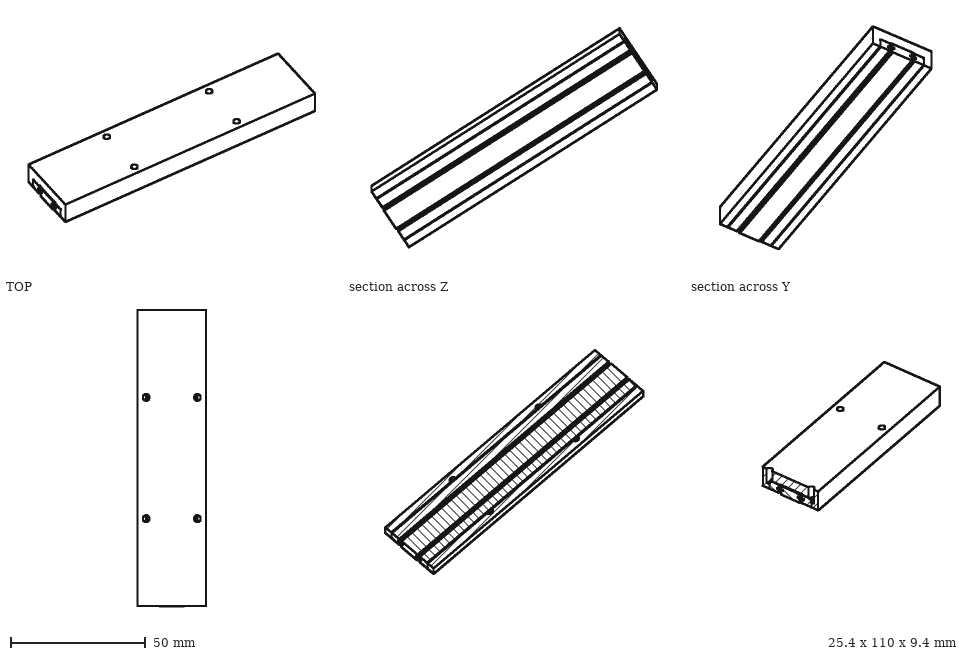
import cadquery as cq

housing_width = 25.4
overall_length = 110.0
overall_height = 9.4
rail_overhang = 0.1
rail_drop = 0.3

channel_width = 18.9
race_height = 3.9
clearance_depth = 0.3

race_gap = 10.3
rail_width = 8.7
rail_top_clearance = 0.2
edge_chamfer = 0.2

groove_opening = 1.3
relief_width = 0.2
relief_depth = 0.9
groove_height = 2.0

hole_diameter = 2.4
hole_spacing_x = 19.0
hole_spacing_y = 45.0
hole_depth = 6.6

housing_length = overall_length - rail_overhang
housing_height = overall_height - rail_drop
channel_roof = race_height + clearance_depth
rail_top = channel_roof - rail_top_clearance


def box(x_min, x_max, length, z_min, z_max):
    """Block starting at the +Y end of the housing and running toward -Y."""
    y_end = housing_length / 2
    return (
        cq.Workplane("XY")
        .box(x_max - x_min, length, z_max - z_min, centered=False)
        .translate((x_min, y_end - length, z_min))
    )


def groove(face_x, direction, length):
    """V groove with a relief slot, cut into a vertical face and pointing along +X or -X."""
    half_opening = groove_opening / 2
    half_relief = relief_width / 2
    v_depth = half_opening - half_relief
    return (
        cq.Workplane("XZ", origin=(face_x, housing_length / 2, groove_height))
        .moveTo(0, half_opening)
        .lineTo(direction * v_depth, half_relief)
        .lineTo(direction * relief_depth, half_relief)
        .lineTo(direction * relief_depth, -half_relief)
        .lineTo(direction * v_depth, -half_relief)
        .lineTo(0, -half_opening)
        .close()
        .extrude(length)
    )


def make_housing():
    body = box(-housing_width / 2, housing_width / 2, housing_length, 0, housing_height)
    body = body.cut(box(-channel_width / 2, channel_width / 2, housing_length, 0, race_height))
    body = body.cut(box(-race_gap / 2, race_gap / 2, housing_length, 0, channel_roof))
    holes = (
        cq.Workplane("XY", origin=(0, 0, housing_height))
        .rarray(hole_spacing_x, hole_spacing_y, 2, 2)
        .circle(hole_diameter / 2)
        .extrude(-hole_depth)
    )
    return body.cut(holes)


def make_race(side):
    inner = side * race_gap / 2
    outer = side * channel_width / 2
    body = box(min(inner, outer), max(inner, outer), housing_length, 0, race_height)
    body = body.edges("|Y").chamfer(edge_chamfer)
    return body.cut(groove(inner, side, housing_length))


def make_rail():
    body = box(-rail_width / 2, rail_width / 2, overall_length, -rail_drop, rail_top)
    body = body.edges("|Y").chamfer(edge_chamfer)
    for side in (-1, 1):
        body = body.cut(groove(side * rail_width / 2, -side, overall_length))
    return body


housing = make_housing()
races = [make_race(side) for side in (-1, 1)]
rail = make_rail()

result = cq.Compound.makeCompound([housing.val(), *[race.val() for race in races], rail.val()])